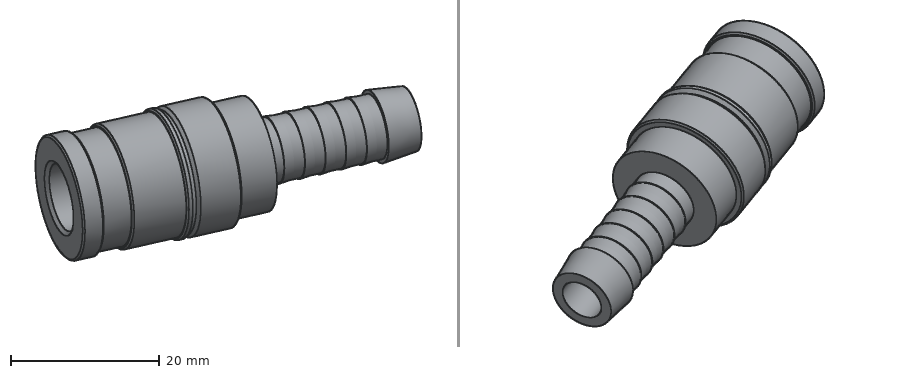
import cadquery as cq

total_length = 51.0
break_edge = 0.25

collar_radius = 18.2 / 2
body_radius = 8.7
neck_radius = 8.25
shoulder_radius = 8.05
stem_radius = 4.55
ridge_radius = 4.7
tip_barb_radius = 5.1

lip_end = 3.1
body_start = 7.2
collar_start = 15.0
groove_start = 15.8
groove_floor_end = 16.45
groove_end = 17.0
collar_end = 23.05
shoulder_end = 28.5

tip_barb_length = 5.0
ridge_count = 5
ridge_length = 1.5
ridge_pitch = 3.0

socket_radius = 4.7
socket_chamfer = 0.5
socket_depth = collar_end
passage_radius = 3.0


def ridge_points(start):
    """Sawtooth ridge: a step at its start, tapering down to the stem toward the tip."""
    return [
        (stem_radius, start),
        (ridge_radius, start),
        (stem_radius, start + ridge_length),
    ]


def outer_body():
    tip_barb_start = total_length - tip_barb_length
    first_ridge_start = tip_barb_start - ridge_count * ridge_pitch

    outline = [
        (0, 0),
        (body_radius - break_edge, 0),
        (body_radius, break_edge),
        (body_radius, lip_end - break_edge),
        (body_radius - break_edge, lip_end),
        (neck_radius, lip_end),
        (neck_radius, body_start),
        (body_radius - break_edge, body_start),
        (body_radius, body_start + break_edge),
        (body_radius, collar_start),
        (collar_radius - break_edge, collar_start),
        (collar_radius, collar_start + break_edge),
        (collar_radius, groove_start),
        (body_radius, groove_floor_end),
        (collar_radius, groove_end),
        (collar_radius, collar_end - break_edge),
        (collar_radius - break_edge, collar_end),
        (shoulder_radius, collar_end),
        (shoulder_radius, shoulder_end),
        (stem_radius, shoulder_end),
    ]
    for index in range(ridge_count):
        outline += ridge_points(first_ridge_start + index * ridge_pitch)
    outline += [
        (stem_radius, tip_barb_start),
        (tip_barb_radius, tip_barb_start),
        (stem_radius, total_length),
        (0, total_length),
    ]
    return cq.Workplane("XY").polyline(outline).close().revolve(360, (0, 0), (0, 1))


def bore():
    outline = [
        (0, 0),
        (socket_radius + socket_chamfer, 0),
        (socket_radius, socket_chamfer),
        (socket_radius, socket_depth),
        (passage_radius, socket_depth),
        (passage_radius, total_length),
        (0, total_length),
    ]
    return cq.Workplane("XY").polyline(outline).close().revolve(360, (0, 0), (0, 1))


result = outer_body().cut(bore())